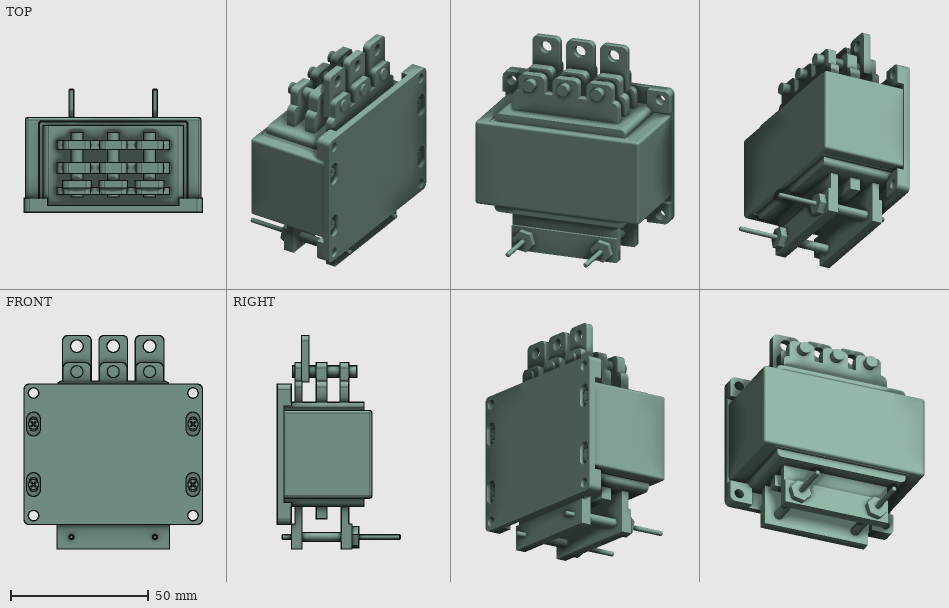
import cadquery as cq


OVERALL_HEIGHT = 77.78

PLATE_WIDTH = 65.0
PLATE_HEIGHT = 51.2
PLATE_THICKNESS = 5.2
PLATE_CORNER_RADIUS = 2.0
SEAT_Y = 2.5
SEAT_HEIGHT = 35.0
NOTCH_WIDTH = 47.8
MOUNT_HOLE_DIAMETER = 3.7
MOUNT_HOLE_X = 29.0
MOUNT_HOLE_Z = 22.3

SCREW_X = 29.0
SCREW_Z = 11.0
POCKET_WIDTH = 5.0
POCKET_LENGTH = 8.7
POCKET_DEPTH = 1.5
SLOT_WIDTH = 3.0
SLOT_LENGTH = 5.2
HEAD_DIAMETER = 3.7
HEAD_HEIGHT = 0.5
SHANK_DIAMETER = 2.5
SHANK_END_Y = 8.5
CROSS_LENGTH = 2.1
CROSS_WIDTH = 0.45
CROSS_DEPTH = 0.8

COVER_WIDTH = 64.0
COVER_HEIGHT = 32.0
COVER_BACK_Y = 34.5
COVER_EDGE_RADIUS = 1.0
CAVITY_WIDTH = 54.4
CAVITY_BACK_Y = 33.3
CAVITY_CORNER_RADIUS = 1.3

CORE_CHAMFER = 0.4
BLOCK_WIDTH = 51.0
BLOCK_HEIGHT = 38.0
BLOCK_BACK_Y = 31.6
BLOCK_EDGE_RADIUS = 2.0

BAR_WIDTH = 41.0
FRONT_BAR_Y = (6.4, 9.1)
MIDDLE_BAR_Y = (14.2, 18.2)
BACK_COMB_Y = (22.8, 26.05)
BACK_LEG_Y = (23.25, 26.05)
FOOT_PROJECTION = 1.2
FRONT_FOOT_Y = (FRONT_BAR_Y[0] - FOOT_PROJECTION, FRONT_BAR_Y[1])
BACK_FOOT_Y = (BACK_LEG_Y[0], BACK_LEG_Y[1] + FOOT_PROJECTION)
FOOT_TOP_Z = -25.3
FOOT_BOTTOM_Z = -34.5
MIDDLE_LEG_BOTTOM_Z = -23.5
SHOULDER_Z = 26.75
NECK_TOP_Z = 33.4
NECK_WIDTH = 10.0
NECK_PITCH = 13.23
SHOULDER_RADIUS = BAR_WIDTH / 2 - NECK_PITCH - NECK_WIDTH / 2
NECK_RADIUS = 2.0

PIN_DIAMETER = 4.35
PIN_Y = (5.55, 29.0)
PIN_Z = 30.05
LUG_WIDTH = 10.5
LUG_Y = (8.8, 11.6)
LUG_LENGTH = 17.0
LUG_TOP_Z = FOOT_BOTTOM_Z + OVERALL_HEIGHT
LUG_CORNER_RADIUS = 2.0
LUG_HOLE_DIAMETER = 4.5
LUG_HOLE_FROM_TOP = 3.95

STUD_X = 15.2
STUD_Z = -30.1
STUD_DIAMETER = 1.8
STUD_Y = (1.7, 44.8)
STUD_CHAMFER = 0.3
SLEEVE_DIAMETER = 3.4
NUT_THICKNESS = 2.5
NUT_CORNER_RADIUS = 4.1
NUT_TURN = -13.0


def box(width, y_range, z_range, x_centre=0.0):
    """Box centred on x_centre, between two Y values and two Z values."""
    y_low, y_high = y_range
    z_low, z_high = z_range
    corner = (x_centre - width / 2, y_low, z_low)
    return cq.Workplane("XY").box(width, y_high - y_low, z_high - z_low, centered=False).translate(corner)


def centred_box(width, y_range, height):
    return box(width, y_range, (-height / 2, height / 2))


def section_at(y):
    """Workplane at a given Y, facing +Y; its local x is world -X."""
    return cq.Workplane("XZ", origin=(0, y, 0)).transformed(rotate=(0, 180, 0))


def rod(diameter, y_range, x, z):
    y_low, y_high = y_range
    return section_at(y_low).center(-x, z).circle(diameter / 2).extrude(y_high - y_low)


def screw_points():
    return [(x, z) for x in (-SCREW_X, SCREW_X) for z in (-SCREW_Z, SCREW_Z)]


def neck_centres():
    return [-NECK_PITCH, 0.0, NECK_PITCH]


def make_plate():
    plate = centred_box(PLATE_WIDTH, (0, PLATE_THICKNESS), PLATE_HEIGHT)
    plate = plate.edges("|Y").fillet(PLATE_CORNER_RADIUS)
    recess_y = (SEAT_Y, PLATE_THICKNESS)
    plate = plate.cut(centred_box(PLATE_WIDTH, recess_y, SEAT_HEIGHT))
    plate = plate.cut(centred_box(NOTCH_WIDTH, recess_y, PLATE_HEIGHT))
    for x in (-MOUNT_HOLE_X, MOUNT_HOLE_X):
        for z in (-MOUNT_HOLE_Z, MOUNT_HOLE_Z):
            plate = plate.cut(rod(MOUNT_HOLE_DIAMETER, (0, PLATE_THICKNESS), x, z))
    front = section_at(0).pushPoints(screw_points())
    pockets = front.slot2D(POCKET_LENGTH, POCKET_WIDTH, 90).extrude(POCKET_DEPTH)
    slots = front.slot2D(SLOT_LENGTH, SLOT_WIDTH, 90).extrude(SEAT_Y)
    return plate.cut(pockets).cut(slots)


def make_cavity():
    """Space inside the cover, open at the front, top and bottom."""
    cavity = centred_box(CAVITY_WIDTH, (SEAT_Y, CAVITY_BACK_Y), COVER_HEIGHT)
    return cavity.edges("|Z and >Y").fillet(CAVITY_CORNER_RADIUS)


def make_cover():
    cover = centred_box(COVER_WIDTH, (SEAT_Y, COVER_BACK_Y), COVER_HEIGHT)
    cover = cover.edges("|Y or >Y").fillet(COVER_EDGE_RADIUS)
    cover = cover.cut(make_cavity())
    for x, z in screw_points():
        cover = cover.cut(rod(SHANK_DIAMETER, (SEAT_Y, SHANK_END_Y), x, z))
    return cover


def make_screw(x, z):
    """Flat-faced screw with a cross recess, head resting on the pocket floor."""
    head_y = POCKET_DEPTH - HEAD_HEIGHT
    screw = rod(HEAD_DIAMETER, (head_y, POCKET_DEPTH), x, z)
    screw = screw.union(rod(SHANK_DIAMETER, (POCKET_DEPTH, SHANK_END_Y), x, z))
    for angle in (45, 135):
        groove = section_at(head_y).center(-x, z).transformed(rotate=(0, 0, angle))
        screw = screw.cut(groove.rect(CROSS_LENGTH, CROSS_WIDTH).extrude(CROSS_DEPTH))
    return screw


def make_comb(y_range):
    """Upper part of a busbar: a shoulder with three rounded necks."""
    comb = box(BAR_WIDTH, y_range, (0, SHOULDER_Z))
    comb = comb.edges("|Y and >Z").fillet(SHOULDER_RADIUS)
    for x in neck_centres():
        neck = box(NECK_WIDTH, y_range, (0, NECK_TOP_Z), x)
        comb = comb.union(neck.edges("|Y and >Z").fillet(NECK_RADIUS))
    return comb


def make_lug(x):
    lug = box(LUG_WIDTH, LUG_Y, (LUG_TOP_Z - LUG_LENGTH, LUG_TOP_Z), x)
    lug = lug.edges("|Y and >Z").fillet(LUG_CORNER_RADIUS)
    return lug.cut(rod(LUG_HOLE_DIAMETER, LUG_Y, x, LUG_TOP_Z - LUG_HOLE_FROM_TOP))


def make_core():
    """Potted core together with the busbars, pins and lugs set into it."""
    core = make_cavity().edges("(>Z or <Z) and (not <Y)").chamfer(CORE_CHAMFER)
    block = centred_box(BLOCK_WIDTH, (SEAT_Y, BLOCK_BACK_Y), BLOCK_HEIGHT)
    core = core.union(block.edges("|Y").fillet(BLOCK_EDGE_RADIUS))

    for comb_y in (FRONT_BAR_Y, MIDDLE_BAR_Y, BACK_COMB_Y):
        core = core.union(make_comb(comb_y))
    core = core.union(box(BAR_WIDTH, MIDDLE_BAR_Y, (MIDDLE_LEG_BOTTOM_Z, 0)))
    for leg_y in (FRONT_BAR_Y, BACK_LEG_Y):
        core = core.union(box(BAR_WIDTH, leg_y, (FOOT_BOTTOM_Z, 0)))
    for foot_y in (FRONT_FOOT_Y, BACK_FOOT_Y):
        core = core.union(box(BAR_WIDTH, foot_y, (FOOT_BOTTOM_Z, FOOT_TOP_Z)))
    for x in neck_centres():
        core = core.union(make_lug(x)).union(rod(PIN_DIAMETER, PIN_Y, x, PIN_Z))
    for x in (-STUD_X, STUD_X):
        core = core.cut(rod(STUD_DIAMETER, STUD_Y, x, STUD_Z))
    return core


def make_stud(x):
    """Thin stud with a spacer sleeve between the feet and a hexagon nut behind the back foot."""
    stud = rod(STUD_DIAMETER, STUD_Y, x, STUD_Z).faces("<Y or >Y").edges().chamfer(STUD_CHAMFER)
    stud = stud.union(rod(SLEEVE_DIAMETER, (FRONT_FOOT_Y[1], BACK_FOOT_Y[0]), x, STUD_Z))
    nut = section_at(BACK_FOOT_Y[1]).center(-x, STUD_Z).transformed(rotate=(0, 0, NUT_TURN))
    return stud.union(nut.polygon(6, 2 * NUT_CORNER_RADIUS).extrude(NUT_THICKNESS))


plate = make_plate()
cover = make_cover()
core = make_core().cut(plate)
screws = [make_screw(x, z) for x, z in screw_points()]
studs = [make_stud(x) for x in (-STUD_X, STUD_X)]

bodies = [plate, cover, core, *screws, *studs]
result = cq.Compound.makeCompound([body.val() for body in bodies])